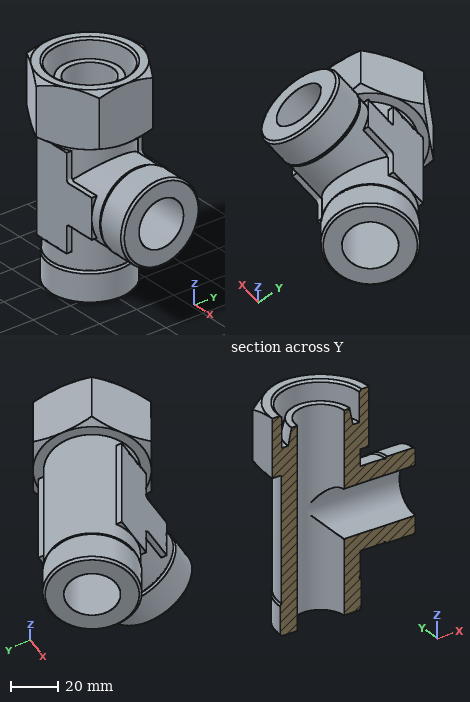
import cadquery as cq
import math

total_height = 106.5
leg_length = 49.0
bore_diameter = 24.0
body_diameter = 41.0

thread_diameter = 42.0
thread_length = 14.8
thread_chamfer = 1.1
relief_diameter = 39.8
relief_length = 1.3

nut_across_flats = 50.1
nut_height = 29.1
nut_sides = 6
nut_bore_diameter = 39.8
nut_mouth_diameter = 42.0
nut_chamfer_angle = 30.0

cone_tip_diameter = 30.0
cone_base_diameter = 33.5
cone_tip_depth = 7.5
cone_half_angle = 12.0

pad_width = 20.5
pad_height = 49.0
pad_reach = 27.5
pad_corner_radius = 1.7

body_radius = body_diameter / 2
nut_bottom = total_height - nut_height


def threaded_leg(length):
    """Turned leg along +Z from the crossing, ending in a thread."""
    thread_start = length - thread_length
    thread_radius = thread_diameter / 2
    profile = [
        (0, 0),
        (body_radius, 0),
        (body_radius, thread_start - relief_length),
        (relief_diameter / 2, thread_start - relief_length),
        (thread_radius, thread_start),
        (thread_radius, length - thread_chamfer),
        (thread_radius - thread_chamfer, length),
        (0, length),
    ]
    return cq.Workplane("XZ").polyline(profile).close().revolve(360, (0, 0), (0, 1))


def wrench_pads():
    """T-shaped slab whose outer faces are tangent to the body."""
    half_width = pad_width / 2
    half_height = pad_height / 2
    slab = (
        cq.Workplane("XZ")
        .polyline([
            (-half_width, -half_height),
            (half_width, -half_height),
            (half_width, -half_width),
            (pad_reach, -half_width),
            (pad_reach, half_width),
            (half_width, half_width),
            (half_width, half_height),
            (-half_width, half_height),
        ])
        .close()
        .extrude(body_radius, both=True)
    )
    inner_corners = cq.selectors.BoxSelector(
        (0, -body_radius, -pad_width),
        (pad_width, body_radius, pad_width),
    )
    slab = slab.edges("|Y").edges(inner_corners).fillet(pad_corner_radius)
    return slab.translate((0, 0, leg_length))


def union_nut():
    """Solid hexagon with flats on -X and +X and conical corners at both ends."""
    flat_radius = nut_across_flats / 2
    half_side_angle = 180 / nut_sides
    corner_radius = flat_radius / math.cos(math.radians(half_side_angle))
    corner_drop = (corner_radius - flat_radius) * math.tan(math.radians(nut_chamfer_angle))
    hexagon = (
        cq.Workplane("XY")
        .polygon(nut_sides, 2 * corner_radius)
        .extrude(nut_height)
        .rotate((0, 0, 0), (0, 0, 1), half_side_angle)
    )
    envelope = (
        cq.Workplane("XY")
        .circle(corner_radius)
        .extrude(nut_height)
        .faces("<Z or >Z")
        .chamfer(corner_drop, corner_radius - flat_radius)
    )
    return hexagon.intersect(envelope).translate((0, 0, nut_bottom))


def nut_cavity():
    """Ring-shaped space between the nut bore and the sealing cone."""
    bore_radius = nut_bore_diameter / 2
    mouth_radius = nut_mouth_diameter / 2
    mouth_depth = mouth_radius - bore_radius
    tip_radius = cone_tip_diameter / 2
    base_radius = cone_base_diameter / 2
    tip_z = total_height - cone_tip_depth
    base_z = tip_z - (base_radius - tip_radius) / math.tan(math.radians(cone_half_angle))
    profile = [
        (0, total_height),
        (mouth_radius, total_height),
        (bore_radius, total_height - mouth_depth),
        (bore_radius, base_z),
        (base_radius, base_z),
        (tip_radius, tip_z),
        (0, tip_z),
    ]
    return cq.Workplane("XZ").polyline(profile).close().revolve(360, (0, 0), (0, 1))


crossing = (0, 0, leg_length)
lower_leg = threaded_leg(leg_length).rotate((0, 0, 0), (1, 0, 0), 180).translate(crossing)
branch = threaded_leg(leg_length).rotate((0, 0, 0), (0, 1, 0), 90).translate(crossing)
upper_tube = (
    cq.Workplane("XY", origin=crossing)
    .circle(body_radius)
    .extrude(nut_bottom - leg_length)
)
body = lower_leg.union(branch).union(upper_tube).union(wrench_pads()).union(union_nut())

run_bore = cq.Workplane("XY").circle(bore_diameter / 2).extrude(total_height)
branch_bore = cq.Workplane("YZ", origin=crossing).circle(bore_diameter / 2).extrude(leg_length)

result = body.cut(nut_cavity()).cut(run_bore).cut(branch_bore)